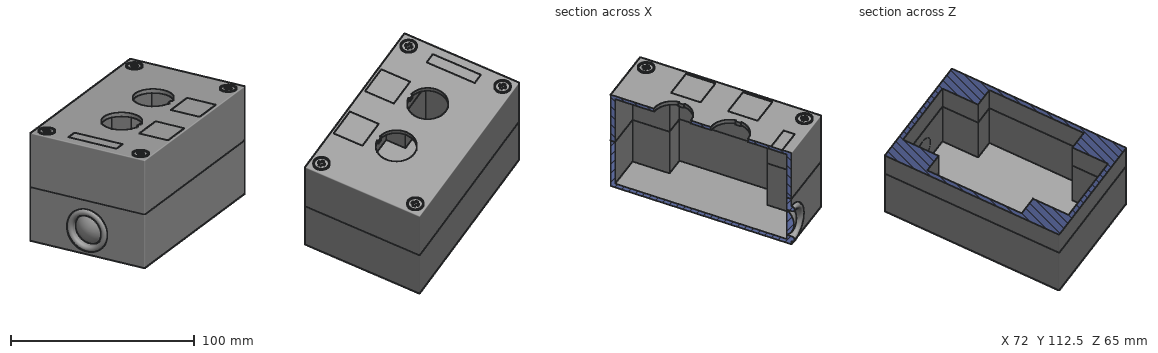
import cadquery as cq
import math

LENGTH = 112.5
WIDTH = 72.0
HEIGHT = 65.0
BEAD_RADIUS = 1.9
BOX_LENGTH = LENGTH - BEAD_RADIUS
HALF_HEIGHT = HEIGHT / 2
WALL = 3.0
LID_THICKNESS = 2.5
EDGE_FILLET = 0.6
FRONT_Y = -BOX_LENGTH / 2

POST_WIDTH = 12.0
POST_LENGTH = 22.5

ENTRY_Z = 14.7
BEAD_CENTRE_RADIUS = 10.7
BEAD_OUTER_RADIUS = BEAD_CENTRE_RADIUS + BEAD_RADIUS
ENTRY_RADIUS = BEAD_CENTRE_RADIUS - BEAD_RADIUS
ENTRY_DEPTH = 2.5
DOME_HEIGHT = 4.0

BUTTON_PITCH = 34.8
BUTTON_RADIUS = 11.2
KEY_WIDTH = 3.2
KEY_REACH = 10.2
BUTTON_YS = (-BUTTON_PITCH / 2, BUTTON_PITCH / 2)

LABEL_DEPTH = 0.1
BUTTON_LABEL_SIZE = 18.0
BUTTON_LABEL_X = 25.1
NAME_LABEL_WIDTH = 30.0
NAME_LABEL_HEIGHT = 6.8
NAME_LABEL_Y = -46.2

SCREW_X = 29.4
SCREW_Y = 48.3
SCREW_RECESS_RADIUS = 4.6
SCREW_HEAD_RADIUS = 4.0
SCREW_GROOVE_DEPTH = 0.5
CROSS_LENGTH = 4.0
CROSS_WIDTH = 1.5
CROSS_DEPTH = 1.0


def block(size_x, size_y, bottom, top):
    """Box centred on the Z axis between two heights."""
    return (
        cq.Workplane("XY")
        .workplane(offset=bottom)
        .rect(size_x, size_y)
        .extrude(top - bottom)
    )


def cavity(bottom, top):
    """Inner space of one enclosure half, narrowed by a post in each corner."""
    inner_width = WIDTH - 2 * WALL
    inner_length = BOX_LENGTH - 2 * WALL
    lengthwise = block(inner_width - 2 * POST_WIDTH, inner_length, bottom, top)
    crosswise = block(inner_width, inner_length - 2 * POST_LENGTH, bottom, top)
    return lengthwise.union(crosswise)


def cable_entry():
    """Round part of the front wall: a raised bead around a recess with a domed floor."""
    back_y = FRONT_Y + WALL
    floor_y = FRONT_Y + ENTRY_DEPTH
    dome_radius = (ENTRY_RADIUS**2 + DOME_HEIGHT**2) / (2 * DOME_HEIGHT)
    dome_centre_y = floor_y - DOME_HEIGHT + dome_radius
    half_radius = ENTRY_RADIUS / 2
    dome_middle_y = dome_centre_y - math.sqrt(dome_radius**2 - half_radius**2)
    return (
        cq.Workplane("XY")
        .moveTo(0, back_y)
        .lineTo(BEAD_OUTER_RADIUS, back_y)
        .lineTo(BEAD_OUTER_RADIUS, FRONT_Y)
        .threePointArc((BEAD_CENTRE_RADIUS, FRONT_Y - BEAD_RADIUS), (ENTRY_RADIUS, FRONT_Y))
        .lineTo(ENTRY_RADIUS, floor_y)
        .threePointArc((half_radius, dome_middle_y), (0, floor_y - DOME_HEIGHT))
        .close()
        .revolve(360, (0, 0, 0), (0, 1, 0))
        .translate((0, 0, ENTRY_Z))
    )


def entry_hole():
    """Hole through the front wall that the cable entry fills."""
    axis_start = cq.Vector(0, FRONT_Y, ENTRY_Z)
    return cq.Workplane(cq.Solid.makeCylinder(BEAD_OUTER_RADIUS, WALL, axis_start, cq.Vector(0, 1, 0)))


def make_base():
    """Lower half with the closed cable entry in its front wall."""
    shell = block(WIDTH, BOX_LENGTH, 0, HALF_HEIGHT)
    shell = shell.edges("|Z").fillet(EDGE_FILLET).faces("<Z").edges().fillet(EDGE_FILLET)
    shell = shell.cut(cavity(WALL, HALF_HEIGHT))
    return shell.cut(entry_hole()).union(cable_entry())


def button_opening(y):
    """Round through opening with a square key on its +X side."""
    bottom = HEIGHT - LID_THICKNESS
    hole = cq.Workplane("XY").workplane(offset=bottom).circle(BUTTON_RADIUS).extrude(LID_THICKNESS)
    key = block(BUTTON_RADIUS, KEY_WIDTH, bottom, HEIGHT).translate((KEY_REACH + BUTTON_RADIUS / 2, 0, 0))
    return hole.cut(key).translate((0, y, 0))


def label_recess(size_x, size_y, x, y):
    """Shallow rectangular seat for a label."""
    return block(size_x, size_y, HEIGHT - LABEL_DEPTH, HEIGHT).translate((x, y, 0))


def screw_recess(x, y):
    """Ring groove around a flush screw head, and the cross recess in that head."""
    groove = (
        cq.Workplane("XY")
        .workplane(offset=HEIGHT - SCREW_GROOVE_DEPTH)
        .circle(SCREW_RECESS_RADIUS)
        .circle(SCREW_HEAD_RADIUS)
        .extrude(SCREW_GROOVE_DEPTH)
    )
    cross_bottom = HEIGHT - CROSS_DEPTH
    cross = block(CROSS_LENGTH, CROSS_WIDTH, cross_bottom, HEIGHT)
    cross = cross.union(block(CROSS_WIDTH, CROSS_LENGTH, cross_bottom, HEIGHT))
    return groove.add(cross).combine().translate((x, y, 0))


def make_lid():
    """Upper half with button openings, label seats and screws."""
    shell = block(WIDTH, BOX_LENGTH, HALF_HEIGHT, HEIGHT)
    shell = shell.edges("|Z").fillet(EDGE_FILLET).faces(">Z").edges().fillet(EDGE_FILLET)
    shell = shell.cut(cavity(HALF_HEIGHT, HEIGHT - LID_THICKNESS))
    for y in BUTTON_YS:
        shell = shell.cut(button_opening(y))
        shell = shell.cut(label_recess(BUTTON_LABEL_SIZE, BUTTON_LABEL_SIZE, BUTTON_LABEL_X, y))
    shell = shell.cut(label_recess(NAME_LABEL_WIDTH, NAME_LABEL_HEIGHT, 0, NAME_LABEL_Y))
    for x in (-SCREW_X, SCREW_X):
        for y in (-SCREW_Y, SCREW_Y):
            shell = shell.cut(screw_recess(x, y))
    return shell


base = make_base()
lid = make_lid()
result = cq.Compound.makeCompound([base.solids().val(), lid.solids().val()])